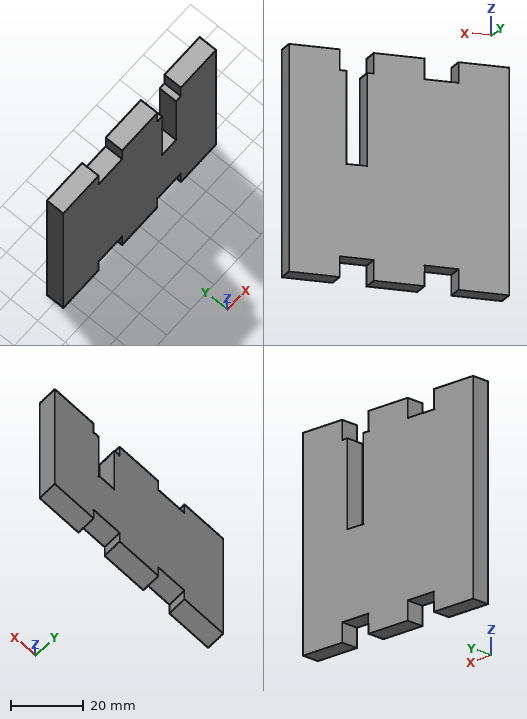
import cadquery as cq

width = 65.0
height = 66.0
thickness = 6.0

tab_width = 15.0
notch_width = (width - 3 * tab_width) / 2
notch_depth = thickness
notch_offset = (tab_width + notch_width) / 2
slot_width = thickness
slot_depth = height / 2


def edge_cut(center_x, cut_width, depth, side):
    """Block cutting through the plate from its top (side=1) or bottom (side=-1) edge."""
    center_z = side * (height - depth) / 2
    return cq.Workplane("XY").box(cut_width, thickness, depth).translate((center_x, 0, center_z))


result = cq.Workplane("XY").box(width, thickness, height)

for side in (1, -1):
    for center_x in (-notch_offset, notch_offset):
        result = result.cut(edge_cut(center_x, notch_width, notch_depth, side))

result = result.cut(edge_cut(notch_offset, slot_width, slot_depth, 1))